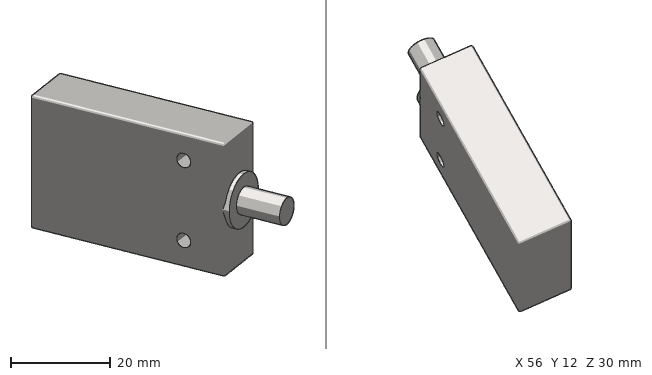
import cadquery as cq

total_length = 56.0
body_length = 45.0
body_depth = 12.0
body_height = 30.0
edge_radius = 0.5
collar_thickness = 1.0
stem_diameter = 6.0
hole_diameter = 3.2
hole_x = 35.5
hole_spacing = 18.05

collar_diameter = body_depth
collar_end = body_length + collar_thickness


def rounded_body():
    """Block from X = 0, centred on the X axis, with every edge rounded."""
    block = cq.Workplane("XY").box(body_length, body_depth, body_height, centered=(False, True, True))
    return block.edges().fillet(edge_radius)


def cylinder_along_x(diameter, start, end):
    """Round bar on the X axis between two X positions."""
    return cq.Workplane("YZ", origin=(start, 0, 0)).circle(diameter / 2).extrude(end - start)


def mounting_holes():
    """Two cutters that pass right through the depth of the body."""
    return (
        cq.Workplane("XZ")
        .pushPoints([(hole_x, -hole_spacing / 2), (hole_x, hole_spacing / 2)])
        .circle(hole_diameter / 2)
        .extrude(body_depth, both=True)
    )


collar = cylinder_along_x(collar_diameter, body_length - edge_radius, collar_end)
stem = cylinder_along_x(stem_diameter, collar_end, total_length)

result = rounded_body().union(collar).union(stem).cut(mounting_holes())